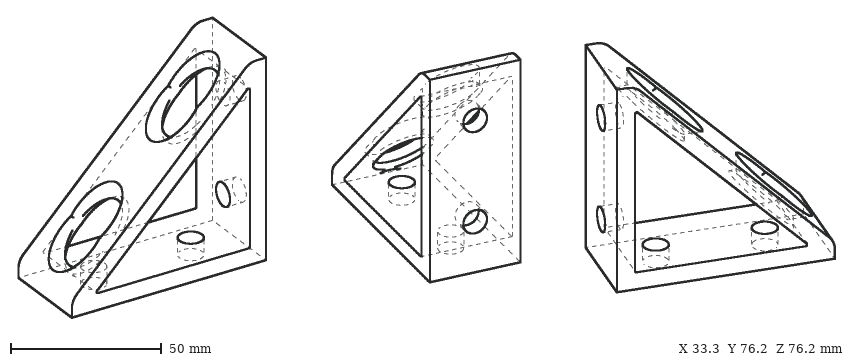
import cadquery as cq
import math

width = 33.3
leg_length = 76.2
leg_thickness = 6.4
brace_thickness = 6.3
slope_reach = 82.6
outer_radius = 6.5
inner_radius = 0.5

hole_diameter = 8.7
access_diameter = 19.05
hole_distances = (19.05, 57.15)

shoulder = slope_reach - leg_length
window_reach = slope_reach - brace_thickness * math.sqrt(2)
window_tip = window_reach - leg_thickness


def prism(points):
    """Extrude a (Y, Z) outline across the full width, centred on X = 0."""
    return cq.Workplane("YZ").polyline(points).close().extrude(width / 2, both=True)


def bore(diameter, start, distance, along_y):
    """Cylinder from depth start to beyond the slope, square to one leg."""
    if along_y:
        origin, direction = cq.Vector(0, -start, distance), cq.Vector(0, -1, 0)
    else:
        origin, direction = cq.Vector(0, -distance, start), cq.Vector(0, 0, 1)
    return cq.Solid.makeCylinder(diameter / 2, slope_reach - start, origin, direction)


body = prism([
    (0, 0),
    (0, leg_length),
    (-shoulder, leg_length),
    (-leg_length, shoulder),
    (-leg_length, 0),
])
for end in ((0, -shoulder, leg_length), (0, -leg_length, shoulder)):
    body = body.edges(cq.selectors.NearestToPointSelector(end)).fillet(outer_radius)

window = prism([
    (-leg_thickness, leg_thickness),
    (-leg_thickness, window_tip),
    (-window_tip, leg_thickness),
]).edges("|X").fillet(inner_radius)
body = body.cut(window)

for along_y in (True, False):
    for distance in hole_distances:
        body = body.cut(cq.Workplane(bore(hole_diameter, 0, distance, along_y)))
        body = body.cut(cq.Workplane(bore(access_diameter, leg_thickness, distance, along_y)))

result = body